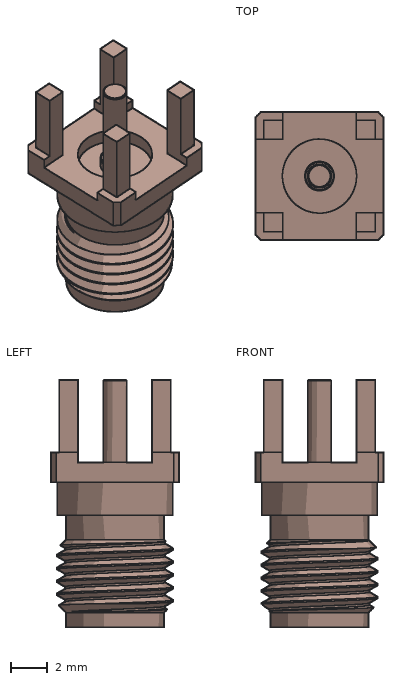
import cadquery as cq
import math

flange_width = 7.0
flange_bottom_z = 7.9
flange_face_z = 9.0
corner_top_z = 9.55
flange_edge_chamfer = 0.3
corner_inner = 2.01
post_outer = 3.05
overall_height = 13.5

recess_diameter = 4.05
recess_depth = 0.8
boss_diameter = 1.6
boss_height = 0.57
boss_chamfer = 0.04
pin_diameter = 1.3
pin_chamfer = 0.06

collar_diameter = 6.32
collar_bottom_z = 6.1
barrel_diameter = 5.36

thread_diameter = 6.35
threads_per_inch = 36
mm_per_inch = 25.4
thread_pitch = mm_per_inch / threads_per_inch
thread_bottom_z = 0.8
thread_top_z = 4.78
thread_half_angle = math.radians(30)
thread_depth_ratio = 0.6134
thread_depth = thread_depth_ratio * thread_pitch
thread_crest_width = thread_pitch / 8
groove_phase_z = 0.565
groove_overshoot = 0.05
sleeve_overlap = 0.5


def cylinder(diameter, bottom_z, top_z):
    return cq.Workplane("XY", origin=(0, 0, bottom_z)).circle(diameter / 2).extrude(top_z - bottom_z)


def make_flange():
    """Square plate whose top is lowered by a cross, leaving raised corners, with a round recess."""
    block = (
        cq.Workplane("XY", origin=(0, 0, flange_bottom_z))
        .rect(flange_width, flange_width)
        .extrude(corner_top_z - flange_bottom_z)
        .edges("|Z")
        .chamfer(flange_edge_chamfer)
    )
    channel = cq.Workplane("XY", origin=(0, 0, flange_face_z))
    channel_height = corner_top_z - flange_face_z
    channel_along_x = channel.rect(flange_width, 2 * corner_inner).extrude(channel_height)
    channel_along_y = channel.rect(2 * corner_inner, flange_width).extrude(channel_height)
    recess = cylinder(recess_diameter, flange_face_z - recess_depth, flange_face_z)
    return block.cut(channel_along_x).cut(channel_along_y).cut(recess)


def make_posts():
    """Four square posts, flush with the inner faces of the raised corners."""
    post_width = post_outer - corner_inner
    post_spacing = post_outer + corner_inner
    return (
        cq.Workplane("XY", origin=(0, 0, flange_bottom_z))
        .rect(post_spacing, post_spacing, forConstruction=True)
        .vertices()
        .rect(post_width, post_width)
        .extrude(overall_height - flange_bottom_z)
    )


def make_contact():
    """Centre pin standing on a low round boss."""
    floor_z = flange_face_z - recess_depth
    boss = cylinder(boss_diameter, flange_bottom_z, floor_z + boss_height)
    boss = boss.faces(">Z").chamfer(boss_chamfer)
    pin = cylinder(pin_diameter, flange_bottom_z, overall_height)
    pin = pin.faces(">Z").chamfer(pin_chamfer)
    return boss.union(pin)


def make_thread_groove():
    """V-shaped cutter swept along a helix that runs out past both ends of the thread."""
    crest_radius = thread_diameter / 2
    root_radius = crest_radius - thread_depth
    outer_radius = crest_radius + groove_overshoot
    crest_gap_half = (thread_pitch - thread_crest_width) / 2
    root_half = crest_gap_half - thread_depth * math.tan(thread_half_angle)
    outer_half = crest_gap_half + groove_overshoot * math.tan(thread_half_angle)

    start_z = groove_phase_z - thread_pitch
    turns = math.ceil((thread_top_z - start_z) / thread_pitch) + 1
    path = cq.Wire.makeHelix(thread_pitch, turns * thread_pitch, crest_radius)
    groove = (
        cq.Workplane("XZ")
        .moveTo(root_radius, -root_half)
        .lineTo(outer_radius, -outer_half)
        .lineTo(outer_radius, outer_half)
        .lineTo(root_radius, root_half)
        .close()
        .sweep(cq.Workplane(path), isFrenet=True)
    )
    return groove.translate((0, 0, start_z))


def make_thread():
    """Sleeve with 45 degree end chamfers down to the barrel, cut by the helical groove."""
    chamfer = (thread_diameter - barrel_diameter) / 2
    sleeve = cylinder(thread_diameter, thread_bottom_z, thread_top_z)
    sleeve = sleeve.faces("<Z or >Z").chamfer(chamfer)
    bore = cylinder(barrel_diameter - 2 * sleeve_overlap, thread_bottom_z, thread_top_z)
    return sleeve.cut(bore).cut(make_thread_groove())


barrel = cylinder(barrel_diameter, 0, flange_bottom_z)
collar = cylinder(collar_diameter, collar_bottom_z, flange_bottom_z)

result = (
    make_flange()
    .union(make_posts())
    .union(make_contact())
    .union(collar)
    .union(barrel)
    .union(make_thread())
)